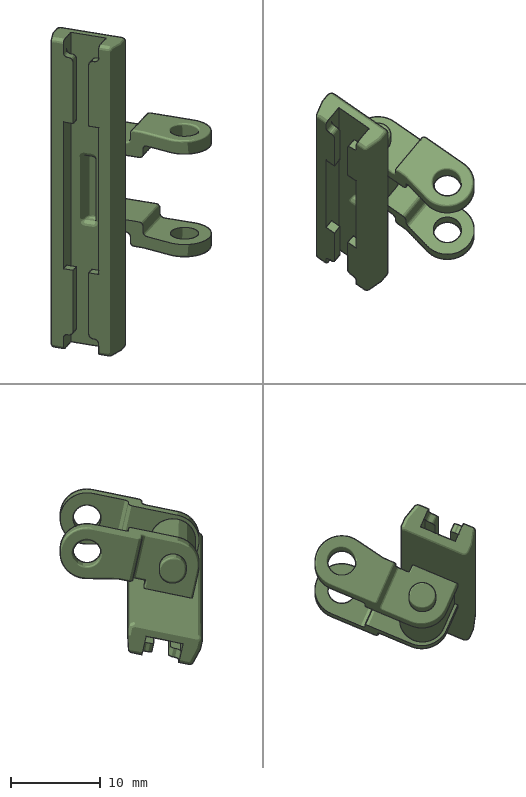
import cadquery as cq
import math


RAIL_LENGTH = 38
RAIL_WIDTH = 8.32
RAIL_DEPTH = 3.55
RAIL_FRONT_WIDTH = 7.22
RAIL_TAPER_START = 1.52
RAIL_BACK_RADIUS = 0.57
RAIL_EDGE_RADIUS = 0.5

CHANNEL_WIDTH = 4.2
CHANNEL_FLOOR = 1.18
SLOT_WIDTH = 1.85
LIP_THICKNESS = 1.03
LIP_INNER_END = 9.0
LIP_OUTER_END = 17.02
LIP_END_RADIUS = 0.55

RECESS_LENGTH = 7.98
RECESS_WIDTH = 1.4
RECESS_WALL = 0.6
RECESS_RIM_RADIUS = 0.57
RECESS_END_RADIUS = 0.25

OVERALL_WIDTH = 16.95
HINGE_Y = 3.15
EYE_RADIUS = 3.0
EYE_X = OVERALL_WIDTH - RAIL_WIDTH / 2 - EYE_RADIUS
EYE_HOLE_DIAMETER = 3.1
EYE_HOLE_ROUND = 0.2
EAR_LEFT = -2.93
EAR_RIGHT = 2.6
EAR_INNER_Z = 3.95
ARM_THICKNESS = 1.6
ARM_LOWER_Y = 0.9
ARM_TAPER_X = 5.7
CRANK_X = 4.1
CRANK_RADIUS = 0.5
ARM_EDGE_RADIUS = 0.23
ARM_NOTCH_RADIUS = 0.15
ARM_TAPER_RADIUS = 2.28
ARM_ROOT = 0.57
BARREL_INSET = 0.45
PIN_DIAMETER = 3.0
PIN_EDGE_RADIUS = 0.2
PIN_TIP_HIGH_Z = 7.2
PIN_TIP_LOW_Z = 6.88

EAR_OUTER_Z = EAR_INNER_Z + ARM_THICKNESS
ARM_OUTER_Z = EAR_OUTER_Z + ARM_THICKNESS
HINGE_TOP = HINGE_Y + EYE_RADIUS

MARGIN = 0.05


def mirrored_in_z(shape):
    return shape.union(shape.mirror("XY"))


def make_rail_body():
    half_width = RAIL_WIDTH / 2
    half_front = RAIL_FRONT_WIDTH / 2
    body = (
        cq.Workplane("XY", origin=(0, 0, -RAIL_LENGTH / 2))
        .moveTo(-half_width, 0)
        .lineTo(half_width, 0)
        .lineTo(half_width, -RAIL_TAPER_START)
        .lineTo(half_front, -RAIL_DEPTH)
        .lineTo(-half_front, -RAIL_DEPTH)
        .lineTo(-half_width, -RAIL_TAPER_START)
        .close()
        .extrude(RAIL_LENGTH)
    )
    body = body.edges("|Z and >Y").fillet(RAIL_BACK_RADIUS)
    body = body.edges("|Z and (<Y or <X or >X)").fillet(RAIL_EDGE_RADIUS)
    return body.faces("<Z or >Z").edges().fillet(RAIL_EDGE_RADIUS)


def make_channel():
    cavity = cq.Workplane("XY").box(
        CHANNEL_WIDTH, RAIL_DEPTH - CHANNEL_FLOOR, RAIL_LENGTH, centered=(True, False, True)
    ).translate((0, -RAIL_DEPTH, 0))
    return cavity.cut(make_lips())


def make_lips():
    """Four lips that narrow the channel mouth, two on each half of the rail."""
    slot_edge = SLOT_WIDTH / 2
    wall = CHANNEL_WIDTH / 2
    lip = (
        cq.Workplane("XZ", origin=(0, -RAIL_DEPTH, 0))
        .moveTo(wall, LIP_INNER_END)
        .lineTo(slot_edge, LIP_INNER_END)
        .lineTo(slot_edge, LIP_OUTER_END - LIP_END_RADIUS)
        .radiusArc((slot_edge + LIP_END_RADIUS, LIP_OUTER_END), LIP_END_RADIUS)
        .lineTo(wall - LIP_END_RADIUS, LIP_OUTER_END)
        .radiusArc((wall, LIP_OUTER_END + LIP_END_RADIUS), -LIP_END_RADIUS)
        .close()
        .extrude(-LIP_THICKNESS)
    )
    return mirrored_in_z(lip.union(lip.mirror("YZ")))


def cut_recess(shape):
    """Round-bottomed recess in the channel floor with a rounded rim."""
    radius = RECESS_WIDTH / 2
    recess = (
        cq.Workplane("XY", origin=(0, -CHANNEL_FLOOR, -RECESS_LENGTH / 2))
        .moveTo(-radius, 0)
        .lineTo(-radius, RECESS_WALL)
        .radiusArc((radius, RECESS_WALL), radius)
        .lineTo(radius, 0)
        .close()
        .extrude(RECESS_LENGTH)
    )
    recess = recess.faces("<Z or >Z").edges("not <Y").fillet(RECESS_END_RADIUS)
    rim_reach = radius + RECESS_RIM_RADIUS
    half_length = RECESS_LENGTH / 2 + RECESS_RIM_RADIUS
    rim_zone = cq.selectors.BoxSelector(
        (-rim_reach, -CHANNEL_FLOOR - MARGIN, -half_length),
        (rim_reach, -CHANNEL_FLOOR + MARGIN, half_length),
    )
    return shape.cut(recess).edges(rim_zone).fillet(RECESS_RIM_RADIUS)


def make_barrel():
    radius = EYE_RADIUS - BARREL_INSET
    length = 2 * EAR_INNER_Z
    barrel = cq.Workplane("XY").center(0, HINGE_Y).circle(radius).extrude(length)
    foot = cq.Workplane("XY").center(0, (HINGE_Y - ARM_ROOT) / 2)
    foot = foot.rect(2 * radius, HINGE_Y + ARM_ROOT).extrude(length)
    return barrel.union(foot).translate((0, 0, -EAR_INNER_Z))


def make_arm_outline():
    """Plan shape of an ear joined to its eye, as a prism from the ear to the outer arm face."""
    corner_x = EAR_LEFT + EYE_RADIUS
    run = EYE_X - ARM_TAPER_X
    rise = HINGE_Y - ARM_LOWER_Y
    reach = math.hypot(run, rise)
    tangent_angle = math.atan2(-rise, -run) + math.acos(EYE_RADIUS / reach)
    tangent = (
        EYE_X + EYE_RADIUS * math.cos(tangent_angle),
        HINGE_Y + EYE_RADIUS * math.sin(tangent_angle),
    )
    outline = (
        cq.Workplane("XY", origin=(0, 0, EAR_INNER_Z))
        .moveTo(EAR_LEFT, -ARM_ROOT)
        .lineTo(EAR_LEFT, HINGE_Y)
        .radiusArc((corner_x, HINGE_TOP), EYE_RADIUS)
        .lineTo(EYE_X, HINGE_TOP)
        .threePointArc((EYE_X + EYE_RADIUS, HINGE_Y), tangent)
        .lineTo(ARM_TAPER_X, ARM_LOWER_Y)
        .lineTo(EAR_RIGHT, ARM_LOWER_Y)
        .lineTo(EAR_RIGHT, -ARM_ROOT)
        .close()
        .extrude(ARM_OUTER_Z - EAR_INNER_Z)
    )
    notch = cq.selectors.NearestToPointSelector((EAR_RIGHT, ARM_LOWER_Y, EAR_OUTER_Z))
    outline = outline.edges("|Z").edges(notch).fillet(ARM_NOTCH_RADIUS)
    taper_start = cq.selectors.NearestToPointSelector((ARM_TAPER_X, ARM_LOWER_Y, EAR_OUTER_Z))
    return outline.edges("|Z").edges(taper_start).fillet(ARM_TAPER_RADIUS)


def make_crank():
    """Z-shaped band that steps from the ear level out to the eye level."""
    left = EAR_LEFT
    right = EYE_X + EYE_RADIUS
    inner_riser = CRANK_X + ARM_THICKNESS
    band = (
        cq.Workplane("XZ", origin=(0, HINGE_TOP, 0))
        .moveTo(left, EAR_INNER_Z)
        .lineTo(inner_riser, EAR_INNER_Z)
        .lineTo(inner_riser, EAR_OUTER_Z)
        .lineTo(right, EAR_OUTER_Z)
        .lineTo(right, ARM_OUTER_Z)
        .lineTo(CRANK_X, ARM_OUTER_Z)
        .lineTo(CRANK_X, EAR_OUTER_Z)
        .lineTo(left, EAR_OUTER_Z)
        .close()
        .extrude(HINGE_TOP + ARM_ROOT)
    )
    bends = cq.selectors.BoxSelector(
        (CRANK_X - MARGIN, -ARM_ROOT, EAR_INNER_Z - MARGIN),
        (inner_riser + MARGIN, HINGE_TOP, ARM_OUTER_Z + MARGIN),
    )
    return band.edges("|Y").edges(bends).fillet(CRANK_RADIUS)


def make_arm():
    arm = make_arm_outline().intersect(make_crank())
    outer_bend_x = CRANK_X + CRANK_RADIUS
    rim = arm.faces(">Z").edges().filter(lambda edge: edge.Center().x > outer_bend_x + MARGIN)
    arm = arm.newObject(rim.vals()).fillet(ARM_EDGE_RADIUS)
    hole = cq.Workplane("XY").center(EYE_X, HINGE_Y).circle(EYE_HOLE_DIAMETER / 2).extrude(ARM_OUTER_Z)
    arm = arm.cut(hole)
    return arm.faces(">Z").edges("%CIRCLE and (not >X)").fillet(EYE_HOLE_ROUND)


def make_pin():
    """Pin on the ear whose tip slopes down towards -X."""
    radius = PIN_DIAMETER / 2
    pin = (
        cq.Workplane("XZ", origin=(0, HINGE_Y + radius, 0))
        .moveTo(-radius, EAR_INNER_Z)
        .lineTo(radius, EAR_INNER_Z)
        .lineTo(radius, PIN_TIP_HIGH_Z)
        .lineTo(-radius, PIN_TIP_LOW_Z)
        .close()
        .extrude(PIN_DIAMETER)
    )
    round_bar = cq.Workplane("XY").center(0, HINGE_Y).circle(radius).extrude(PIN_TIP_HIGH_Z)
    return pin.intersect(round_bar).faces(">Z").edges().fillet(PIN_EDGE_RADIUS)


rail = make_rail_body().cut(make_channel())
hinge = make_barrel().union(mirrored_in_z(make_arm().union(make_pin())))
result = cut_recess(rail.union(hinge))